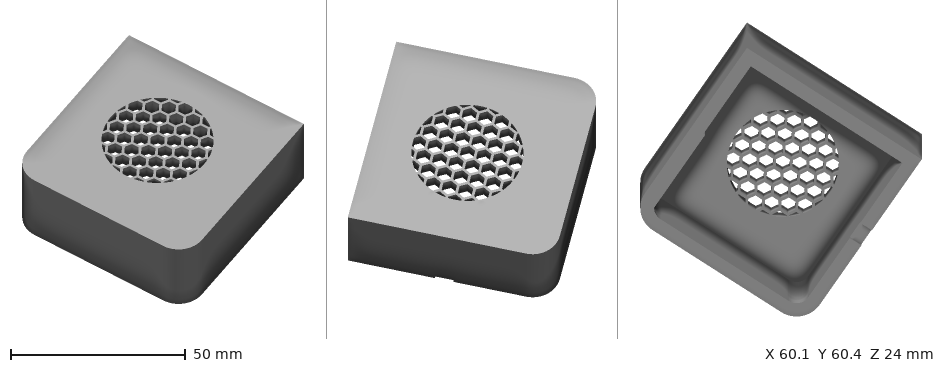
import cadquery as cq
import math

width = 60.1
depth = 60.4
height = 24.0
corner_radius = 8.0

wall = 4.0
cavity_height = height - wall
cavity_right = width / 2 - wall

opening_x = -1.25
opening_y = 1.9
opening_radius = 16.0

cell_flats = 4.0
rib_width = cell_flats / 5
cell_pitch = cell_flats + rib_width
cell_corners = cell_flats / math.cos(math.pi / 6)
column_pitch = cell_pitch * math.cos(math.pi / 6)

notch_width = 5.45
notch_height = 0.95

step_thickness = 0.6


def rounded_block(size_x, size_y, size_z, radius):
    """Block standing on Z = 0 with its two upright corners on the -Y side rounded."""
    block = cq.Workplane("XY").box(size_x, size_y, size_z, centered=(True, True, False))
    return block.edges("|Z and <Y").fillet(radius)


def make_cavity():
    """Inside space, open at the bottom, with the step left standing on the +X wall."""
    cavity = rounded_block(width - 2 * wall, depth - 2 * wall, cavity_height, corner_radius - wall)
    step = cq.Workplane("XY").box(
        step_thickness, opening_y + depth / 2, cavity_height, centered=False
    )
    return cavity.cut(step.translate((cavity_right - step_thickness, -depth / 2, 0)))


def cell_centers():
    """Centres, relative to the opening, of all cells that reach into it."""
    columns = math.ceil(opening_radius / column_pitch)
    rows = math.ceil(opening_radius / cell_pitch)
    centers = []
    for column in range(-columns, columns + 1):
        row_shift = cell_pitch / 2 if column % 2 else 0
        for row in range(-rows - 1, rows + 1):
            x = column * column_pitch
            y = row * cell_pitch + row_shift
            if math.hypot(x, y) < opening_radius + cell_corners / 2:
                centers.append((x, y))
    return centers


def make_grille_cells():
    """Hexagonal prisms through the roof, trimmed to the round opening."""
    roof_plane = cq.Workplane("XY", origin=(opening_x, opening_y, cavity_height))
    cells = roof_plane.pushPoints(cell_centers()).polygon(6, cell_corners).extrude(wall)
    opening = roof_plane.circle(opening_radius).extrude(wall)
    return cells.intersect(opening)


def make_notch():
    """Notch through the full thickness of the -X wall."""
    return cq.Workplane("XY", origin=(-width / 2, opening_y, 0)).box(
        wall, notch_width, notch_height, centered=(False, True, False)
    )


result = (
    rounded_block(width, depth, height, corner_radius)
    .cut(make_cavity())
    .cut(make_grille_cells())
    .cut(make_notch())
)